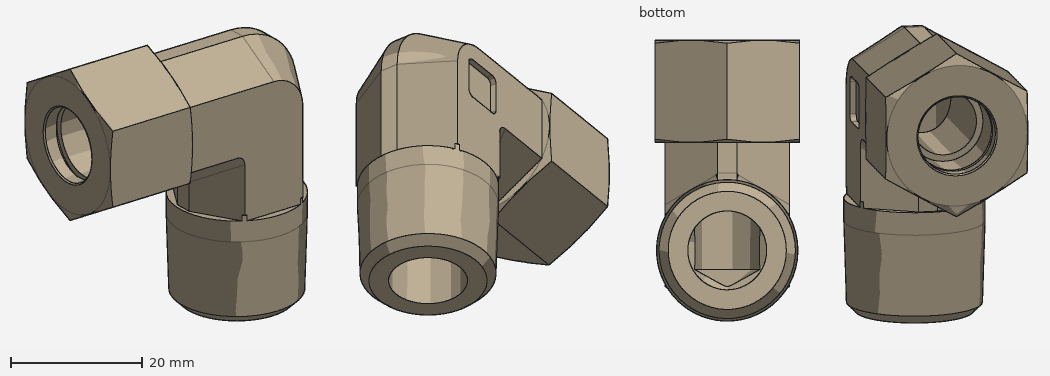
import cadquery as cq
import math


half_sector = math.radians(30)

body_width = 19.0
body_height = 20.2
bend_inner_radius = 1.7
leg_length = 16.45

pipe_end_diameter = 21.55
pipe_end_length = 17.55
corner_relief_length = 1.0
straight_length = 3.5
taper_end_diameter = 20.75
tip_diameter = 18.0
pipe_end_bottom = -leg_length - pipe_end_length

tube_diameter = 12.0

horizontal_bore_diameter = 10.0
vertical_bore_diameter = 12.0
drill_point_angle = 118
vertical_bore_end = 0.37
horizontal_bore_end = 2.9

recess_size = 7.0
recess_corner_radius = 1.0
recess_depth = 1.0
recess_offset = 1.0

nut_width = 22.0
nut_end = 32.0
nut_face_diameter = 21.85
nut_chamfer_angle = 15
nut_lip_thickness = 2.3
nut_mouth_chamfer = 0.25

seat_diameter = 16.0
spigot_length = 6.0
spigot_end = leg_length + spigot_length
seat_end = nut_end - nut_lip_thickness
ring_clearance = 0.9
ring_end = seat_end - ring_clearance
ring_face_diameter = 14


def along_leg(start):
    """Sketch plane across the horizontal leg, at the given distance from the bend, facing away from it."""
    return cq.Workplane("XZ", origin=(0, -start, 0))


def bar_outline():
    """Upper and lower corners of the body cross-section, in order around it."""
    half_width = body_width / 2
    half_height = body_height / 2
    side_half = half_width * math.tan(half_sector)
    flat_half = (2 * side_half - half_height) / math.tan(half_sector)
    upper = [
        (half_width, side_half),
        (flat_half, half_height),
        (-flat_half, half_height),
        (-half_width, side_half),
    ]
    lower = [(-x, -y) for x, y in upper]
    return upper, lower


def make_elbow_bar():
    """Two bar legs, joined by a quarter turn outside and a fillet in the inner corner."""
    upper, lower = bar_outline()
    vertical_leg = cq.Workplane("XY").polyline(upper + lower).close().extrude(-leg_length)
    horizontal_leg = along_leg(0).polyline(upper + lower).close().extrude(leg_length)
    half_outline = [(-body_width / 2, 0), (body_width / 2, 0)] + upper
    turn = along_leg(0).polyline(half_outline).close().revolve(90, (0, 0), (-1, 0))
    bar = vertical_leg.union(horizontal_leg).union(turn)
    margin = 0.45
    outermost = -body_height / 2 - margin
    innermost = -body_width / 4
    inner_corner = cq.selectors.BoxSelector(
        (-body_width / 2, outermost, outermost),
        (body_width / 2, innermost, innermost),
    )
    return bar.edges(inner_corner).fillet(bend_inner_radius)


def make_pipe_end():
    """Straight collar, slight taper and chamfered tip, turned about the vertical axis."""
    tip_chamfer = (taper_end_diameter - tip_diameter) / 2
    outline = [
        (0, -leg_length),
        (pipe_end_diameter / 2, -leg_length),
        (pipe_end_diameter / 2, -leg_length - straight_length),
        (taper_end_diameter / 2, pipe_end_bottom + tip_chamfer),
        (tip_diameter / 2, pipe_end_bottom),
        (0, pipe_end_bottom),
    ]
    return cq.Workplane("XZ").polyline(outline).close().revolve(360, (0, 0), (0, 1))


def make_corner_relief():
    """Ring that trims the bar corners to the collar diameter just above the collar."""
    return (
        cq.Workplane("XY", origin=(0, 0, -leg_length))
        .circle(pipe_end_diameter)
        .circle(pipe_end_diameter / 2)
        .extrude(corner_relief_length)
    )


def make_drilled_bore(diameter, length):
    """Bore of the given length along +Z from the origin, with a conical drill point beyond it."""
    radius = diameter / 2
    point_length = radius / math.tan(math.radians(drill_point_angle / 2))
    outline = [(0, 0), (radius, 0), (radius, length), (0, length + point_length)]
    return cq.Workplane("XZ").polyline(outline).close().revolve(360, (0, 0), (0, 1))


def make_side_recess():
    """Shallow square recess with rounded corners in the -X side."""
    return (
        cq.Workplane("YZ", origin=(-body_width / 2, -recess_offset, -recess_offset))
        .rect(recess_size, recess_size)
        .extrude(recess_depth)
        .edges("|X")
        .fillet(recess_corner_radius)
    )


def make_elbow():
    """Bar, pipe end and spigot in one piece, with the crossing bores and the side recess cut out."""
    spigot = along_leg(leg_length).circle(seat_diameter / 2).extrude(spigot_length)
    vertical_bore = (
        make_drilled_bore(vertical_bore_diameter, vertical_bore_end - pipe_end_bottom)
        .translate((0, 0, pipe_end_bottom))
    )
    horizontal_bore = (
        make_drilled_bore(horizontal_bore_diameter, spigot_end + horizontal_bore_end)
        .rotate((0, 0, 0), (1, 0, 0), -90)
        .translate((0, -spigot_end, 0))
    )
    return (
        make_elbow_bar()
        .cut(make_corner_relief())
        .union(make_pipe_end())
        .union(spigot)
        .cut(vertical_bore)
        .cut(horizontal_bore)
        .cut(make_side_recess())
    )


def make_nut():
    """Hexagon nut with a pointed corner up, both ends chamfered and a narrow lip at the mouth."""
    corner_diameter = nut_width / math.cos(half_sector)
    nut_length = nut_end - leg_length
    chamfer_radial = (corner_diameter - nut_face_diameter) / 2
    chamfer_axial = chamfer_radial * math.tan(math.radians(nut_chamfer_angle))
    hexagon = (
        along_leg(leg_length)
        .polygon(6, corner_diameter)
        .extrude(nut_length)
        .rotate((0, 0, 0), (0, 1, 0), math.degrees(half_sector))
    )
    chamfered_disc = (
        along_leg(leg_length)
        .circle(corner_diameter / 2)
        .extrude(nut_length)
        .faces("<Y or >Y")
        .edges()
        .chamfer(chamfer_axial, chamfer_radial)
    )
    seat = along_leg(leg_length).circle(seat_diameter / 2).extrude(seat_end - leg_length)
    mouth = along_leg(seat_end).circle(tube_diameter / 2).extrude(nut_lip_thickness)
    nut = hexagon.intersect(chamfered_disc).cut(seat).cut(mouth)
    mouth_edge = cq.selectors.RadiusNthSelector(0)
    return nut.faces("<Y").edges("%CIRCLE").edges(mouth_edge).chamfer(nut_mouth_chamfer)


def make_ring():
    """Ring against the end of the spigot, with a 45 degree bevel toward the nut lip."""
    bevel = (seat_diameter - ring_face_diameter) / 2
    return (
        along_leg(spigot_end)
        .circle(seat_diameter / 2)
        .extrude(ring_end - spigot_end)
        .faces("<Y")
        .chamfer(bevel)
        .cut(along_leg(spigot_end).circle(tube_diameter / 2).extrude(ring_end - spigot_end))
    )


elbow = make_elbow()
nut = make_nut()
ring = make_ring()

result = cq.Compound.makeCompound([elbow.solids().val(), nut.solids().val(), ring.solids().val()])